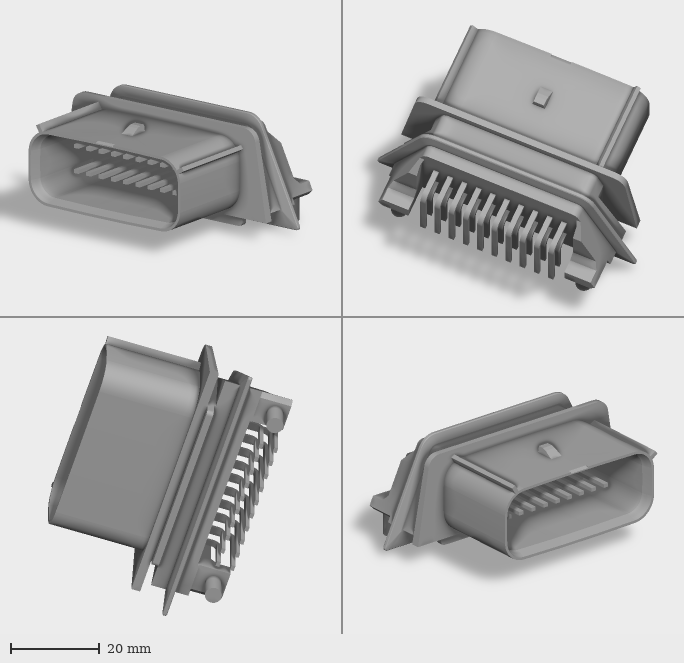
import cadquery as cq
import math


SHROUD_LENGTH = 22.1
SHROUD_HALF_WIDTH = 21.65
SHROUD_BOTTOM = 5.3
SHROUD_TOP = 23.25
SHROUD_BOW_SIDE = 0.5
SHROUD_BOW_TOP = 0.3
SHROUD_CORNER_RADIUS = 5.6
MOUTH_WALL = 0.65
INNER_WALL = 1.4
MOUTH_TAPER_LENGTH = 2.55

KEY_RIBS = [(-19.05, 24.2, 120), (22.3, 21.2, 34)]
KEY_RIB_WIDTH = 1.0
KEY_RIB_HEIGHT = 2.55

LATCH_BACK = 13.05
LATCH_FLAT_END = 11.6
LATCH_KNEE = 10.6
LATCH_FRONT = 8.35
LATCH_TOP = 24.85
LATCH_KNEE_Z = 24.5
LATCH_BASE_HALF = 1.5
LATCH_TOP_HALF = 1.3
BEVEL_WIDTH = 4.95
BEVEL_LENGTH = 0.8
BEVEL_DEPTH = 0.4

FLANGE_FRONT = SHROUD_LENGTH
FLANGE_BACK_TOP = 23.55
FLANGE_BACK_BOTTOM = 24.2
FLANGE_BOTTOM = 4.4
FLANGE_TOP = 25.7
FLANGE_BOTTOM_HALF = 29.05
FLANGE_TOP_HALF = 25.55
FLANGE_RADIUS = 3.2

HOUSING_BOTTOM = 5.55
HOUSING_TOP = 23.75
HOUSING_BOTTOM_HALF = 27.3
SIDE_SLOPE = 0.472
HOUSING_TOP_HALF = HOUSING_BOTTOM_HALF - SIDE_SLOPE * (HOUSING_TOP - HOUSING_BOTTOM)
HOUSING_RADIUS = 2.0
HOUSING_BACK = 34.7
CORE_HALF_WIDTH = 20.65
WING_FRONT_TOP = 26.7
WING_FRONT_BOTTOM = 26.25

TAB_BACK = 25.7
TAB_BOTTOM = 1.6
TAB_RADIUS = 1.0

CHEEK_TOP = 21.45
CHEEK_BACK = 37.85
CHEEK_SLOPE_END = 18.3
CHEEK_INNER_HALF = 19.25
CHEEK_INNER_TOP_HALF = 18.7
CHEEK_INNER_BREAK = 20.3
FOOT_BACK = 42.55
FOOT_TOP = 9.05
FOOT_BOTTOM = 5.85
FOOT_FRONT = 35.1
FOOT_BEVEL_TOP = 6.95
FOOT_GUSSET = 1.45

PEG_DIAMETER = 3.8
PEG_SINK = 0.65
PEG_X = 22.75
PEG_Y = 39.55

RIM_WIDTH = 63.7
RIM_CENTRE = 30.8
RIM_ROOT_THICKNESS = 2.15
RIM_EDGE_THICKNESS = 1.0
RIM_EDGE_BEVEL = 0.2
RIM_BOTTOM = 1.2
RIM_TOP = 26.5
RIM_TOP_RADIUS = 4.45
RIM_BOTTOM_RADIUS = 0.6
RIM_CORNER_ANGLE = math.atan(1 / SIDE_SLOPE)
RIM_BOTTOM_HALF = RIM_WIDTH / 2 + RIM_BOTTOM_RADIUS * (1 / math.tan(RIM_CORNER_ANGLE / 2) - 1)
RIM_ROOT_STEP = 0.4
RIM_ROOT_RADIUS = 0.05

PIN_ROWS = [(17.25, 42.35), (11.35, 38.9)]
PIN_COUNT = 10
PIN_PITCH = 3.5
PIN_WIDTH = 1.3
PIN_THICKNESS = 0.9
PIN_TIP = 10.05
PIN_END = 2.0
PIN_BEND_RADIUS = 2.0


def box(x0, x1, y0, y1, z0, z1):
    return cq.Workplane("XY").box(x1 - x0, y1 - y0, z1 - z0, centered=False).translate((x0, y0, z0))


def along_y(sketch, y0, y1):
    """Extrude an X-Z sketch from y0 to y1."""
    return cq.Workplane("XZ", origin=(0, y0, 0)).placeSketch(sketch).extrude(y0 - y1)


def loft_y(sketch0, y0, sketch1, y1):
    """Loft between two X-Z sketches at y0 and y1."""
    far_sketch = sketch1.moved(cq.Location(cq.Vector(0, 0, y0 - y1)))
    return cq.Workplane("XZ", origin=(0, y0, 0)).placeSketch(sketch0, far_sketch).loft()


def along_x(points, x0, x1):
    """Extrude a closed Y-Z polygon from x0 to x1."""
    return cq.Workplane("YZ", origin=(x0, 0, 0)).polyline(points).close().extrude(x1 - x0)


def trapezoid(bottom_half, bottom, top_half, top, top_radius, bottom_radius=0.0):
    corners = [(-bottom_half, bottom), (bottom_half, bottom), (top_half, top), (-top_half, top)]
    sketch = cq.Sketch().polygon(corners + corners[:1]).vertices(">Y").fillet(top_radius).reset()
    if bottom_radius:
        sketch = sketch.vertices("<Y").fillet(bottom_radius).reset()
    return sketch


def bowed_outline(inset):
    """Rounded rectangle with slightly bulging sides, moved inward by inset."""
    half = SHROUD_HALF_WIDTH - inset
    bottom = SHROUD_BOTTOM + inset
    top = SHROUD_TOP - inset
    middle = (bottom + top) / 2
    corner_x = half - SHROUD_BOW_SIDE
    low = bottom + SHROUD_BOW_TOP
    high = top - SHROUD_BOW_TOP
    return (
        cq.Sketch()
        .arc((-corner_x, low), (0, bottom), (corner_x, low))
        .arc((corner_x, low), (half, middle), (corner_x, high))
        .arc((corner_x, high), (0, top), (-corner_x, high))
        .arc((-corner_x, high), (-half, middle), (-corner_x, low))
        .assemble()
        .vertices()
        .fillet(SHROUD_CORNER_RADIUS - inset)
        .reset()
    )


def key_rib(tip_x, tip_z, angle):
    rib = cq.Workplane("XY").box(
        KEY_RIB_HEIGHT, SHROUD_LENGTH, KEY_RIB_WIDTH, centered=(False, False, True)
    )
    rib = rib.translate((-KEY_RIB_HEIGHT, 0, 0)).rotate((0, 0, 0), (0, 1, 0), -angle)
    return rib.translate((tip_x, 0, tip_z))


def latch_bump():
    root = SHROUD_TOP - MOUTH_WALL
    side_profile = [
        (LATCH_BACK, root),
        (LATCH_BACK, LATCH_TOP),
        (LATCH_FLAT_END, LATCH_TOP),
        (LATCH_KNEE, LATCH_KNEE_Z),
        (LATCH_FRONT, SHROUD_TOP),
        (LATCH_FRONT, root),
    ]
    front_profile = cq.Sketch().polygon([
        (-LATCH_BASE_HALF, root),
        (LATCH_BASE_HALF, root),
        (LATCH_BASE_HALF, SHROUD_TOP),
        (LATCH_TOP_HALF, LATCH_TOP),
        (-LATCH_TOP_HALF, LATCH_TOP),
        (-LATCH_BASE_HALF, SHROUD_TOP),
        (-LATCH_BASE_HALF, root),
    ])
    bump = along_x(side_profile, -LATCH_BASE_HALF, LATCH_BASE_HALF)
    return bump.intersect(along_y(front_profile, LATCH_FRONT, LATCH_BACK))


def shroud():
    body = along_y(bowed_outline(0), 0, SHROUD_LENGTH)
    for tip_x, tip_z, angle in KEY_RIBS:
        body = body.union(key_rib(tip_x, tip_z, angle))
    body = body.union(latch_bump())
    bevel = [(0, SHROUD_TOP - BEVEL_DEPTH), (BEVEL_LENGTH, SHROUD_TOP), (0, SHROUD_TOP)]
    body = body.cut(along_x(bevel, -BEVEL_WIDTH / 2, BEVEL_WIDTH / 2))
    inner = bowed_outline(INNER_WALL)
    body = body.cut(loft_y(bowed_outline(MOUTH_WALL), 0, inner, MOUTH_TAPER_LENGTH))
    return body.cut(along_y(inner, MOUTH_TAPER_LENGTH, SHROUD_LENGTH))


def flange():
    outline = trapezoid(FLANGE_BOTTOM_HALF, FLANGE_BOTTOM, FLANGE_TOP_HALF, FLANGE_TOP, FLANGE_RADIUS)
    plate = along_y(outline, FLANGE_FRONT, FLANGE_BACK_BOTTOM)
    drafted_side = [
        (FLANGE_FRONT, FLANGE_BOTTOM),
        (FLANGE_BACK_BOTTOM, FLANGE_BOTTOM),
        (FLANGE_BACK_TOP, FLANGE_TOP),
        (FLANGE_FRONT, FLANGE_TOP),
    ]
    return plate.intersect(along_x(drafted_side, -FLANGE_BOTTOM_HALF, FLANGE_BOTTOM_HALF))


def housing_outline():
    return trapezoid(HOUSING_BOTTOM_HALF, HOUSING_BOTTOM, HOUSING_TOP_HALF, HOUSING_TOP, HOUSING_RADIUS)


def housing():
    """Sloping body with cheeks and feet at the back and a slot behind the flange on each side."""
    side_profile = [
        (FLANGE_FRONT, HOUSING_BOTTOM),
        (FLANGE_FRONT, HOUSING_TOP),
        (HOUSING_BACK, HOUSING_TOP),
        (HOUSING_BACK, CHEEK_TOP),
        (CHEEK_BACK, CHEEK_SLOPE_END),
        (CHEEK_BACK, FOOT_TOP + FOOT_GUSSET),
        (CHEEK_BACK + FOOT_GUSSET, FOOT_TOP),
        (FOOT_BACK, FOOT_TOP),
        (FOOT_BACK, FOOT_BOTTOM),
        (FOOT_FRONT, FOOT_BOTTOM),
        (FOOT_FRONT, HOUSING_BOTTOM),
    ]
    body = along_y(housing_outline(), FLANGE_FRONT, FOOT_BACK)
    body = body.intersect(along_x(side_profile, -HOUSING_BOTTOM_HALF, HOUSING_BOTTOM_HALF))

    rear_gap = cq.Sketch().polygon([
        (-CHEEK_INNER_HALF, 0),
        (CHEEK_INNER_HALF, 0),
        (CHEEK_INNER_HALF, CHEEK_INNER_BREAK),
        (CHEEK_INNER_TOP_HALF, CHEEK_TOP),
        (-CHEEK_INNER_TOP_HALF, CHEEK_TOP),
        (-CHEEK_INNER_HALF, CHEEK_INNER_BREAK),
        (-CHEEK_INNER_HALF, 0),
    ])
    body = body.cut(along_y(rear_gap, HOUSING_BACK, FOOT_BACK))

    slot_top = HOUSING_BOTTOM + (HOUSING_BOTTOM_HALF - CORE_HALF_WIDTH) / SIDE_SLOPE
    slot = [
        (FLANGE_FRONT, HOUSING_BOTTOM),
        (WING_FRONT_BOTTOM, HOUSING_BOTTOM),
        (WING_FRONT_TOP, slot_top),
        (FLANGE_FRONT, slot_top),
    ]
    foot_edge = HOUSING_BOTTOM_HALF - SIDE_SLOPE * (FOOT_BEVEL_TOP - HOUSING_BOTTOM)
    bevel_width = FOOT_BEVEL_TOP - FOOT_BOTTOM
    foot_bevel = cq.Sketch().polygon([
        (foot_edge - bevel_width, FOOT_BOTTOM),
        (foot_edge, FOOT_BEVEL_TOP),
        (HOUSING_BOTTOM_HALF, FOOT_BEVEL_TOP),
        (HOUSING_BOTTOM_HALF, FOOT_BOTTOM),
        (foot_edge - bevel_width, FOOT_BOTTOM),
    ])
    cuts = along_x(slot, CORE_HALF_WIDTH, HOUSING_BOTTOM_HALF)
    cuts = cuts.union(along_y(foot_bevel, FOOT_FRONT, FOOT_BACK))
    return body.cut(cuts).cut(cuts.mirror("YZ"))


def tab():
    plate = box(
        -CORE_HALF_WIDTH, CORE_HALF_WIDTH, FLANGE_BACK_BOTTOM, TAB_BACK, TAB_BOTTOM, SHROUD_TOP / 2
    )
    return plate.edges("|Y and <Z").fillet(TAB_RADIUS)


def rim_root_outline():
    """Housing outline enlarged by the root step on every side."""
    bottom = HOUSING_BOTTOM - RIM_ROOT_STEP
    top = HOUSING_TOP + RIM_ROOT_STEP
    half_at_zero = HOUSING_BOTTOM_HALF + SIDE_SLOPE * HOUSING_BOTTOM
    half_at_zero += RIM_ROOT_STEP * math.hypot(1, SIDE_SLOPE)
    return trapezoid(
        half_at_zero - SIDE_SLOPE * bottom,
        bottom,
        half_at_zero - SIDE_SLOPE * top,
        top,
        HOUSING_RADIUS + RIM_ROOT_STEP,
        RIM_ROOT_RADIUS,
    )


def rim_outline(inset):
    bottom = RIM_BOTTOM + inset
    top = RIM_TOP - inset
    bottom_half = RIM_BOTTOM_HALF - inset
    top_half = bottom_half - SIDE_SLOPE * (top - bottom)
    return trapezoid(bottom_half, bottom, top_half, top, RIM_TOP_RADIUS, RIM_BOTTOM_RADIUS)


def rim():
    """Thin rim around the housing, thickest at its root and bevelled at its edge."""
    outer = rim_outline(0)
    bevelled = rim_outline(RIM_EDGE_BEVEL)
    root = rim_root_outline()
    edge_half = RIM_EDGE_THICKNESS / 2
    flat_half = edge_half - RIM_EDGE_BEVEL
    body = along_y(outer, RIM_CENTRE - flat_half, RIM_CENTRE + flat_half)
    for side in (-1, 1):
        edge_y = RIM_CENTRE + side * edge_half
        body = body.union(loft_y(outer, RIM_CENTRE + side * flat_half, bevelled, edge_y))
        body = body.union(loft_y(bevelled, edge_y, root, RIM_CENTRE + side * RIM_ROOT_THICKNESS / 2))
    return body


def peg(x):
    """Board peg, sunk slightly into the foot above it."""
    return cq.Workplane("XY").center(x, PEG_Y).circle(PEG_DIAMETER / 2).extrude(FOOT_BOTTOM + PEG_SINK)


def pin(x, centre_z, rear_y):
    """Contact that runs straight back through the housing and bends down to the board."""
    top = centre_z + PIN_THICKNESS / 2
    bend_y = rear_y - PIN_BEND_RADIUS
    bend_z = top - PIN_BEND_RADIUS
    inner_radius = PIN_BEND_RADIUS - PIN_THICKNESS
    outer_mid = PIN_BEND_RADIUS * math.sqrt(0.5)
    inner_mid = inner_radius * math.sqrt(0.5)
    return (
        cq.Workplane("YZ", origin=(x - PIN_WIDTH / 2, 0, 0))
        .moveTo(PIN_TIP, top)
        .lineTo(bend_y, top)
        .threePointArc((bend_y + outer_mid, bend_z + outer_mid), (rear_y, bend_z))
        .lineTo(rear_y, PIN_END)
        .lineTo(rear_y - PIN_THICKNESS, PIN_END)
        .lineTo(rear_y - PIN_THICKNESS, bend_z)
        .threePointArc((bend_y + inner_mid, bend_z + inner_mid), (bend_y, top - PIN_THICKNESS))
        .lineTo(PIN_TIP, top - PIN_THICKNESS)
        .close()
        .extrude(PIN_WIDTH)
    )


result = shroud().union(flange()).union(housing()).union(tab()).union(rim())
for side in (-1, 1):
    result = result.union(peg(side * PEG_X))
for row_z, row_rear in PIN_ROWS:
    for index in range(PIN_COUNT):
        pin_x = (index - (PIN_COUNT - 1) / 2) * PIN_PITCH
        result = result.union(pin(pin_x, row_z, row_rear))